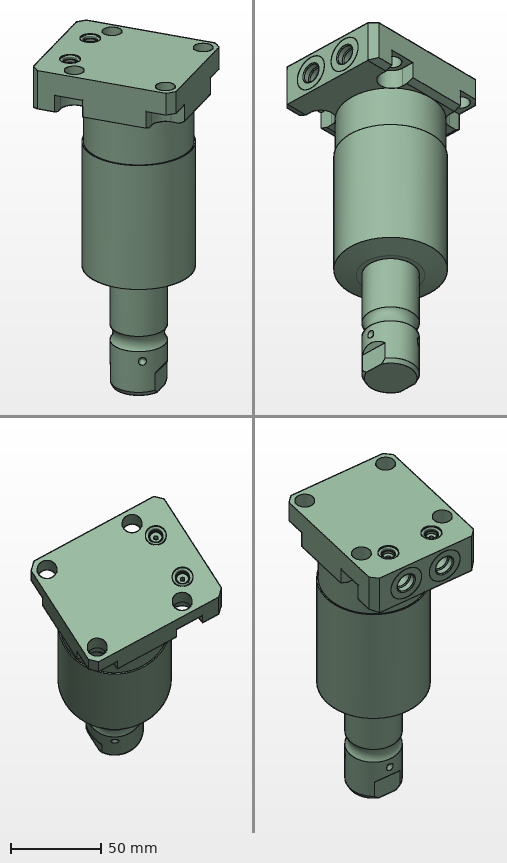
import cadquery as cq
import math


total_height = 199.4
plate_length = 85.5
plate_width = 70.8
plate_thickness = 25.3
plate_right = 35.3
plate_corner = 4.2
plate_side_chamfer_width = 4.5
plate_end_chamfer_width = 3.0
plate_chamfer_height = 1.8

plate_left = plate_right - plate_length
plate_center_x = plate_right - plate_length / 2
plate_bottom = total_height - plate_thickness

bolt_spacing = 54.6
bolt_hole_diameter = 11.0
recess_width = 16.7
recess_height = 12.0

side_port_spacing = 26.0
side_port_z = total_height - plate_thickness / 2
spotface_radius = 10.4
spotface_depth = 0.1
side_port_mouth_radius = 6.2
side_port_bore_radius = 5.5
side_port_thread_radius = 5.0
side_port_chamfer = side_port_mouth_radius - side_port_bore_radius
side_port_step_depth = 4.0

top_port_spacing = 29.1
top_port_offset = 15.2
seal_outer_radius = 5.8
seal_inner_radius = 4.0
seal_recess = 0.1
top_port_seat_radius = 3.4
top_port_bore_depth = 2.0
top_port_depth = 3.5
cross_drill_radius = 1.2
cross_drill_depth = 14.5

top_port_x = plate_left + top_port_offset
side_port_depth = 14.4

neck_radius = 30.7
neck_bottom = 149.0
body_radius = 31.5
body_edge_z = 73.0
body_bottom = 69.4
body_nose_radius = 19.0
rod_radius = 16.0
groove_top = 36.9
groove_bottom = 27.5
groove_radius = 14.4
tip_chamfer_height = 2.5
tip_radius = 14.5

flat_distance = 13.4
flat_height = 13.0
flat_runout = rod_radius - flat_distance
dimple_radius = 2.4
dimple_z = 21.5
dimple_angles = (60, 180, 300)


def turned_body():
    """Neck, cylinder body and grooved rod as one revolved profile."""
    groove_middle = (groove_top + groove_bottom) / 2
    return (
        cq.Workplane("XZ")
        .moveTo(0, 0)
        .lineTo(tip_radius, 0)
        .lineTo(rod_radius, tip_chamfer_height)
        .lineTo(rod_radius, groove_bottom)
        .threePointArc((groove_radius, groove_middle), (rod_radius, groove_top))
        .lineTo(rod_radius, body_bottom)
        .lineTo(body_nose_radius, body_bottom)
        .lineTo(body_radius, body_edge_z)
        .lineTo(body_radius, neck_bottom)
        .lineTo(neck_radius, neck_bottom)
        .lineTo(neck_radius, plate_bottom)
        .lineTo(0, plate_bottom)
        .close()
        .revolve(360, (0, 0, 0), (0, 1, 0))
    )


def mounting_plate():
    """Plate with cut corners and chamfered lower edges on three sides."""
    plate = (
        cq.Workplane("XY", origin=(plate_center_x, 0, plate_bottom))
        .rect(plate_length, plate_width)
        .extrude(plate_thickness)
        .edges("|Z")
        .chamfer(plate_corner)
    )
    half_width = plate_width / 2
    chamfer_top = plate_bottom + plate_chamfer_height
    side_section = (
        cq.Workplane("YZ", origin=(plate_left, 0, 0))
        .moveTo(plate_side_chamfer_width - half_width, plate_bottom)
        .lineTo(half_width - plate_side_chamfer_width, plate_bottom)
        .lineTo(half_width, chamfer_top)
        .lineTo(half_width, total_height)
        .lineTo(-half_width, total_height)
        .lineTo(-half_width, chamfer_top)
        .close()
        .extrude(plate_length)
    )
    end_section = (
        cq.Workplane("XZ", origin=(0, half_width, 0))
        .moveTo(plate_left, plate_bottom)
        .lineTo(plate_right - plate_end_chamfer_width, plate_bottom)
        .lineTo(plate_right, chamfer_top)
        .lineTo(plate_right, total_height)
        .lineTo(plate_left, total_height)
        .close()
        .extrude(plate_width)
    )
    return plate.intersect(side_section).intersect(end_section)


def screw_recess(x, side):
    """Recess under a bolt hole, open to the Y side and, at +X, to the end as well."""
    y = side * bolt_spacing / 2
    base = cq.Workplane("XY", origin=(x, y, plate_bottom))
    recess = base.circle(recess_width / 2).extrude(recess_height)
    slot = base.center(0, side * recess_width / 2).rect(recess_width, recess_width).extrude(recess_height)
    recess = recess.union(slot)
    if x > 0:
        end_slot = base.center(recess_width / 2, 0).rect(recess_width, recess_width).extrude(recess_height)
        corner = (
            base.center(recess_width / 2, side * recess_width / 2)
            .rect(recess_width, recess_width)
            .extrude(recess_height)
        )
        recess = recess.union(end_slot).union(corner)
    return recess


def bolt_cuts():
    """Four through holes with their screw-head recesses."""
    cuts = (
        cq.Workplane("XY", origin=(0, 0, plate_bottom))
        .rect(bolt_spacing, bolt_spacing, forConstruction=True)
        .vertices()
        .circle(bolt_hole_diameter / 2)
        .extrude(plate_thickness)
    )
    for x in (-bolt_spacing / 2, bolt_spacing / 2):
        for side in (-1, 1):
            cuts = cuts.union(screw_recess(x, side))
    return cuts


def side_port(y):
    """Spotfaced, stepped port bored in from the -X face."""
    step_end = side_port_step_depth + side_port_bore_radius - side_port_thread_radius
    return (
        cq.Workplane("XY", origin=(plate_left, y, side_port_z))
        .moveTo(0, 0)
        .lineTo(0, spotface_radius)
        .lineTo(spotface_depth, spotface_radius)
        .lineTo(spotface_depth, side_port_mouth_radius)
        .lineTo(spotface_depth + side_port_chamfer, side_port_bore_radius)
        .lineTo(side_port_step_depth, side_port_bore_radius)
        .lineTo(step_end, side_port_thread_radius)
        .lineTo(side_port_depth, side_port_thread_radius)
        .lineTo(side_port_depth, 0)
        .close()
        .revolve(360, (0, 0, 0), (1, 0, 0))
    )


def top_port(y):
    """Stepped port in the top face, ringed by a round seal, drilled down to the side port."""
    seal_section_radius = (seal_outer_radius - seal_inner_radius) / 2
    seal_center_radius = (seal_outer_radius + seal_inner_radius) / 2
    seal_center_depth = seal_recess + seal_section_radius
    return (
        cq.Workplane("XZ", origin=(top_port_x, y, total_height))
        .moveTo(0, 0)
        .lineTo(seal_outer_radius, 0)
        .lineTo(seal_outer_radius, -seal_center_depth)
        .threePointArc((seal_center_radius, -seal_recess), (seal_inner_radius, -seal_center_depth))
        .lineTo(seal_inner_radius, -top_port_bore_depth)
        .lineTo(top_port_seat_radius, -top_port_bore_depth)
        .lineTo(top_port_seat_radius, -top_port_depth)
        .lineTo(cross_drill_radius, -top_port_depth)
        .lineTo(cross_drill_radius, -cross_drill_depth)
        .lineTo(0, -cross_drill_depth)
        .close()
        .revolve(360, (0, 0, 0), (0, 1, 0))
    )


def wrench_flat(side):
    """Material removed for one flat, with a 45 degree run-out at its upper end."""
    return (
        cq.Workplane("XZ", origin=(0, rod_radius, 0))
        .moveTo(side * flat_distance, 0)
        .lineTo(side * flat_distance, flat_height)
        .lineTo(side * rod_radius, flat_height + flat_runout)
        .lineTo(side * rod_radius, 0)
        .close()
        .extrude(2 * rod_radius)
    )


def cone_dimple(angle):
    """Radial 90 degree dimple whose mouth lies on the rod surface."""
    outward = cq.Vector(math.cos(math.radians(angle)), math.sin(math.radians(angle)), 0)
    mouth = cq.Vector(0, 0, dimple_z) + outward * rod_radius
    dimple_depth = dimple_radius
    return cq.Workplane(cq.Solid.makeCone(dimple_radius, 0, dimple_depth, mouth, -outward))


result = mounting_plate().cut(bolt_cuts()).union(turned_body())

for side in (-1, 1):
    result = result.cut(side_port(side * side_port_spacing / 2))
    result = result.cut(top_port(side * top_port_spacing / 2))
    result = result.cut(wrench_flat(side))

for angle in dimple_angles:
    result = result.cut(cone_dimple(angle))